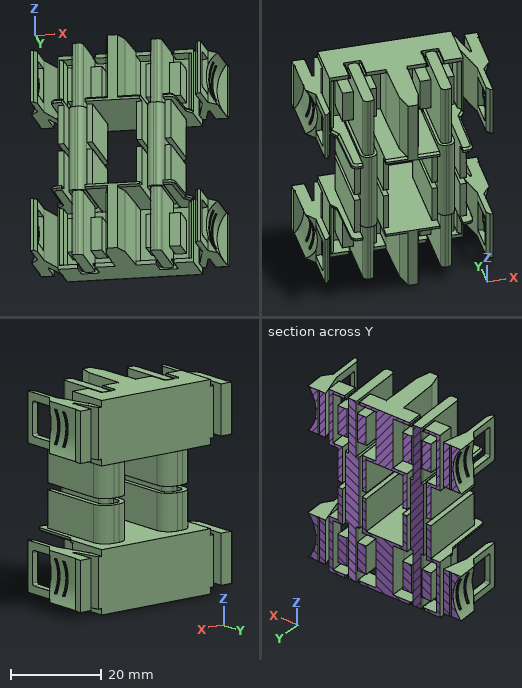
import cadquery as cq


TOP = 24.62
HOUSING_HEIGHT = 15.0
BOTTOM = TOP - HOUSING_HEIGHT
MID_HEIGHT = TOP - HOUSING_HEIGHT / 2
DEPTH = 25.2
HALF_WIDTH = 15.35
BLOCK_FRONT = 14.75

ROOF = 0.95
FLOOR = 0.95
RECESS_BACK = 19.5
RECESS_MOUTH_X = 14.95
RECESS_SIDE_X = 14.2
RECESS_BEVEL = RECESS_MOUTH_X - RECESS_SIDE_X

RIB_TIP = 1.15
RIB_SHOULDER = 2.15
RIB_ROOT = 2.4
RIB_SHOULDER_Y = 3.75

PLATE_SIDE_Y = 12.35
PLATE_SIDE_X = 14.2
PLATE_FRONT_X = 14.0
PLATE_TAPER_START = 14.15
PLATE_CORNER = 1.35
PLATE_EDGE = 0.55
PLATE_BEVEL_ANGLE = 55

BLADE_X = 8.9
BLADE_FRONT = 3.6
BLADE_BACK = 19.9
BLADE_WIDTH = 3.9
BLADE_FLAT = 0.6
TONGUE_WIDTH = 2.55
TONGUE_INSET_FRONT = 0.75
TONGUE_INSET_BACK = 0.75
BLADE_TOP = 24.45

SLEEVE_END = 0.8
SLEEVE_WIDTH = 7.9
SLEEVE_FRONT = 2.45
SLEEVE_BACK = 22.35
SLEEVE_CORNER = 3.25
SLEEVE_OUTER_WALL = 1.4
SLEEVE_INNER_WALL = 1.25
SLEEVE_BACK_WALL = 1.3

GUIDE_FRONT = 13.0
GUIDE_HEIGHT = 7.7
GUIDE_MID_HEIGHT = 17.4
GUIDE_GAP = 2.8
SLOT_WIDTH = 4.05
SLOT_STEP_DEPTH = 0.65
SLOT_LOWER_WIDTH = 3.1
SLOT_CORNER = 0.35

CLIP_HEIGHT = 12.0
OVERALL_WIDTH = 42.7
CLIP_OUTER_X = OVERALL_WIDTH / 2
CLIP_ARM_X = 18.3
LEG_OUTER_X = 19.3
LEG_INNER_X = 17.95
LEG_BACK = 11.5
LEG_TIP = 3.55
LEG_TIP_BEVEL_X = 0.7
LEG_TIP_BEVEL_Y = 1.1
CLIP_BEVEL_TOP = 14.05
LEG_INNER_BACK = 12.15
WEB_FRONT = 20.8
WEB_INNER_X = 15.65
WEB_BACK_X = 16.2
NOTCH_FRONT = 18.65
SCOOP_BACK = 23.5
SCOOP_RADIUS = 9.35
SCOOP_FLOOR_X = 18.95
WINDOW_FRONT = 5.3
WINDOW_HEIGHT = 8.15
WINDOW_CORNER = 0.6
WINDOW_DRAFT_ANGLE = 8
RIDGE_HEIGHT = 8.05
RIDGE_RISE = 0.2
RIDGE_WIDTH = 0.6
RIDGE_MIDDLES = (14.5, 17.45)

SIDES = (-1, 1)


def box(x0, x1, y0, y1, z0, z1):
    """Box between two opposite corners."""
    return cq.Workplane("XY").box(x1 - x0, y1 - y0, z1 - z0, centered=False).translate((x0, y0, z0))


def prism(points, z0, z1):
    """Upright prism over a closed outline of (x, y) points."""
    return cq.Workplane("XY").workplane(offset=z0).polyline(points).close().extrude(z1 - z0)


def both_sides(shape):
    """The shape together with its copy mirrored across x = 0."""
    return shape.union(shape.mirror("YZ"))


def floor_outline(z):
    """Workplane at height z holding the outline of the floor plate, with rounded front corners."""
    return (
        cq.Workplane("XY")
        .workplane(offset=z)
        .moveTo(PLATE_CORNER - PLATE_FRONT_X, 0)
        .lineTo(PLATE_FRONT_X - PLATE_CORNER, 0)
        .radiusArc((PLATE_FRONT_X, PLATE_CORNER), -PLATE_CORNER)
        .lineTo(PLATE_SIDE_X, PLATE_SIDE_Y)
        .lineTo(HALF_WIDTH, PLATE_TAPER_START)
        .lineTo(HALF_WIDTH, RECESS_BACK)
        .lineTo(-HALF_WIDTH, RECESS_BACK)
        .lineTo(-HALF_WIDTH, PLATE_TAPER_START)
        .lineTo(-PLATE_SIDE_X, PLATE_SIDE_Y)
        .lineTo(-PLATE_FRONT_X, PLATE_CORNER)
        .radiusArc((PLATE_CORNER - PLATE_FRONT_X, 0), -PLATE_CORNER)
        .close()
    )


def make_floor_plate():
    """Floor plate with a shallow bevel around its upper edge."""
    edge = floor_outline(BOTTOM).extrude(PLATE_EDGE)
    bevel = floor_outline(BOTTOM + PLATE_EDGE).extrude(FLOOR - PLATE_EDGE, taper=PLATE_BEVEL_ANGLE)
    return edge.union(bevel)


def make_recess():
    """Cavity of one side recess between roof and floor, bevelled where its mouth meets the side wall."""
    outline = [
        (RIB_ROOT, RECESS_BACK),
        (RIB_ROOT, BLOCK_FRONT),
        (RECESS_MOUTH_X, BLOCK_FRONT),
        (RECESS_SIDE_X, BLOCK_FRONT + RECESS_BEVEL),
        (RECESS_SIDE_X, RECESS_BACK),
    ]
    return prism(outline, BOTTOM + FLOOR, TOP - ROOF)


def make_rib():
    """Full-height central rib that narrows towards its tip."""
    right = [(RIB_TIP, 0), (RIB_SHOULDER, RIB_SHOULDER_Y), (RIB_ROOT, BLOCK_FRONT), (RIB_ROOT, RECESS_BACK)]
    left = [(-x, y) for x, y in reversed(right)]
    return prism(right + left, BOTTOM, TOP)


def make_roof_slot():
    """Stepped slot in the roof that lets one blade tongue through."""
    half_upper = SLOT_WIDTH / 2
    half_lower = SLOT_LOWER_WIDTH / 2
    step_z = TOP - SLOT_STEP_DEPTH
    upper = box(BLADE_X - half_upper, BLADE_X + half_upper, BLOCK_FRONT, RECESS_BACK, step_z, TOP)
    upper = upper.edges("|Z and >Y").fillet(SLOT_CORNER)
    lower = box(BLADE_X - half_lower, BLADE_X + half_lower, BLOCK_FRONT, RECESS_BACK, TOP - ROOF, step_z)
    return upper.union(lower)


def make_guides():
    """Two blocks in a recess that flank one blade tongue."""
    half_width = SLEEVE_WIDTH / 2
    bottom = GUIDE_MID_HEIGHT - GUIDE_HEIGHT / 2
    top = GUIDE_MID_HEIGHT + GUIDE_HEIGHT / 2
    guides = box(BLADE_X - half_width, BLADE_X + half_width, GUIDE_FRONT, RECESS_BACK, bottom, top)
    gap = box(BLADE_X - GUIDE_GAP / 2, BLADE_X + GUIDE_GAP / 2, GUIDE_FRONT, RECESS_BACK, bottom, top)
    return guides.cut(gap)


def make_sleeve():
    """Sleeve below the floor, rounded at the back and filled until its channel is cut."""
    half_width = SLEEVE_WIDTH / 2
    sleeve = box(BLADE_X - half_width, BLADE_X + half_width, SLEEVE_FRONT, SLEEVE_BACK, SLEEVE_END, BOTTOM)
    return sleeve.edges("|Z and >Y").fillet(SLEEVE_CORNER)


def make_channel():
    """Space for one blade through the sleeve and the floor, open at the front."""
    inner = BLADE_X - SLEEVE_WIDTH / 2 + SLEEVE_INNER_WALL
    outer = BLADE_X + SLEEVE_WIDTH / 2 - SLEEVE_OUTER_WALL
    channel = box(inner, outer, 0, SLEEVE_BACK - SLEEVE_BACK_WALL, SLEEVE_END, BOTTOM + FLOOR)
    return channel.edges("|Z and >Y").fillet(SLEEVE_CORNER - SLEEVE_BACK_WALL)


def make_clip():
    """Side clip: a web from the block to an outer arm with a scooped thumb grip and a windowed leg."""
    bottom = MID_HEIGHT - CLIP_HEIGHT / 2
    top = MID_HEIGHT + CLIP_HEIGHT / 2
    outline = [
        (HALF_WIDTH, DEPTH),
        (WEB_BACK_X, DEPTH),
        (LEG_INNER_X, NOTCH_FRONT),
        (CLIP_ARM_X, NOTCH_FRONT),
        (CLIP_ARM_X, DEPTH),
        (CLIP_OUTER_X, DEPTH),
        (CLIP_OUTER_X, CLIP_BEVEL_TOP),
        (LEG_OUTER_X, LEG_BACK),
        (LEG_OUTER_X, LEG_TIP),
        (LEG_INNER_X + LEG_TIP_BEVEL_X, LEG_TIP),
        (LEG_INNER_X, LEG_TIP + LEG_TIP_BEVEL_Y),
        (LEG_INNER_X, LEG_INNER_BACK),
        (WEB_INNER_X, WEB_FRONT),
        (HALF_WIDTH, WEB_FRONT),
    ]
    clip = prism(outline, bottom, top)
    clip = clip.cut(scoop_cylinder(SCOOP_RADIUS, LEG_BACK, SCOOP_BACK))
    for middle in RIDGE_MIDDLES:
        clip = clip.union(make_ridge(middle))
    return clip.cut(make_window())


def scoop_cylinder(radius, front, back):
    """Cylinder along Y about the axis of the thumb scoop."""
    axis_x = SCOOP_FLOOR_X + SCOOP_RADIUS
    circle = cq.Workplane("XZ", origin=(axis_x, front, MID_HEIGHT)).circle(radius)
    return circle.extrude(front - back)


def make_ridge(middle):
    """Thin raised ridge that follows the scoop, centred at y = middle."""
    front = middle - RIDGE_WIDTH / 2
    back = middle + RIDGE_WIDTH / 2
    half_height = RIDGE_HEIGHT / 2
    span = box(CLIP_ARM_X, CLIP_OUTER_X, front, back, MID_HEIGHT - half_height, MID_HEIGHT + half_height)
    ring = scoop_cylinder(SCOOP_RADIUS, front, back).cut(scoop_cylinder(SCOOP_RADIUS - RIDGE_RISE, front, back))
    return span.intersect(ring)


def make_window():
    """Opening through the clip leg: rounded front corners, narrowing inward, with a straight back side."""
    length = LEG_BACK - WINDOW_FRONT
    center = (LEG_OUTER_X, LEG_BACK, MID_HEIGHT)
    leg_thickness = LEG_OUTER_X - LEG_INNER_X
    double_window = (
        cq.Workplane("YZ", origin=center)
        .sketch()
        .rect(2 * length, WINDOW_HEIGHT)
        .vertices()
        .fillet(WINDOW_CORNER)
        .finalize()
        .extrude(-leg_thickness, taper=WINDOW_DRAFT_ANGLE)
    )
    half_height = WINDOW_HEIGHT / 2
    front_half = box(
        LEG_INNER_X, LEG_OUTER_X, WINDOW_FRONT, LEG_BACK, MID_HEIGHT - half_height, MID_HEIGHT + half_height
    )
    return double_window.intersect(front_half)


def make_housing():
    """Upper housing as one solid."""
    housing = box(-HALF_WIDTH, HALF_WIDTH, BLOCK_FRONT, DEPTH, BOTTOM, TOP)
    housing = housing.cut(both_sides(make_recess()))
    housing = housing.union(make_floor_plate())
    housing = housing.union(make_rib())
    housing = housing.cut(both_sides(make_roof_slot()))
    housing = housing.union(both_sides(make_guides()))
    housing = housing.union(both_sides(make_sleeve()))
    housing = housing.cut(both_sides(make_channel()))
    return housing.union(both_sides(make_clip()))


def rounded_bar(width, front, back, half_height):
    """Upright bar across z = 0 whose corners leave a narrow flat at both ends."""
    bar = box(-width / 2, width / 2, front, back, -half_height, half_height)
    return bar.edges("|Z").fillet((width - BLADE_FLAT) / 2)


def make_blade(x):
    """Blade with a thick middle between the housings and a thinner tongue into each of them."""
    middle = rounded_bar(BLADE_WIDTH, BLADE_FRONT, BLADE_BACK, BOTTOM)
    tongue_front = BLADE_FRONT + TONGUE_INSET_FRONT
    tongue_back = BLADE_BACK - TONGUE_INSET_BACK
    tongues = rounded_bar(TONGUE_WIDTH, tongue_front, tongue_back, BLADE_TOP)
    return middle.union(tongues).translate((x, 0, 0))


upper_housing = make_housing()
lower_housing = upper_housing.mirror("XY")
blades = [make_blade(side * BLADE_X) for side in SIDES]

result = cq.Compound.makeCompound(
    [upper_housing.val(), lower_housing.val(), *[blade.val() for blade in blades]]
)